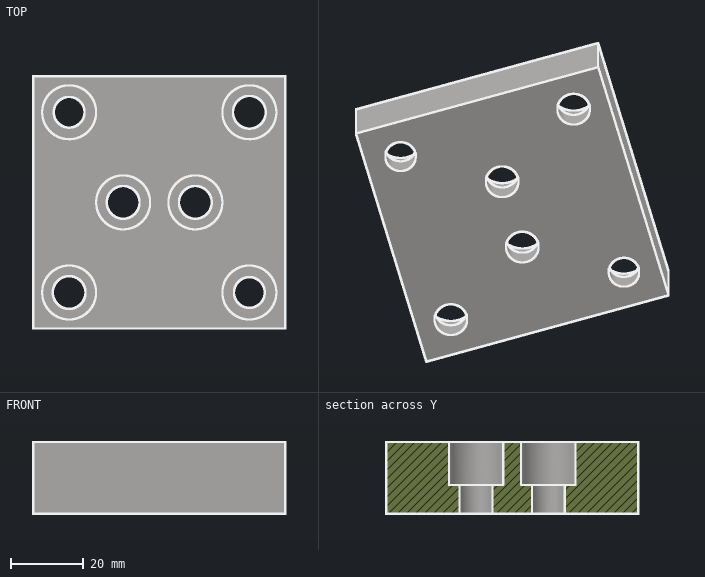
import cadquery as cq

side = 70.0
thickness = 20.0

counterbore_diameter = 15.0
counterbore_depth = 12.0
clearance_diameter = 9.0
close_fit_diameter = 8.5

corner_offset = 25.0
center_offset = 10.0

clearance_places = [
    (-center_offset, 0),
    (center_offset, 0),
    (corner_offset, corner_offset),
    (-corner_offset, -corner_offset),
]
close_fit_places = [
    (-corner_offset, corner_offset),
    (corner_offset, -corner_offset),
]


def drill_counterbored(body, places, diameter):
    """Cut through holes with the common counterbore at the given places."""
    return (
        body.faces(">Z")
        .workplane(origin=(0, 0, 0))
        .pushPoints(places)
        .cboreHole(diameter, counterbore_diameter, counterbore_depth)
    )


block = cq.Workplane("XY").box(side, side, thickness)
block = drill_counterbored(block, clearance_places, clearance_diameter)
result = drill_counterbored(block, close_fit_places, close_fit_diameter)